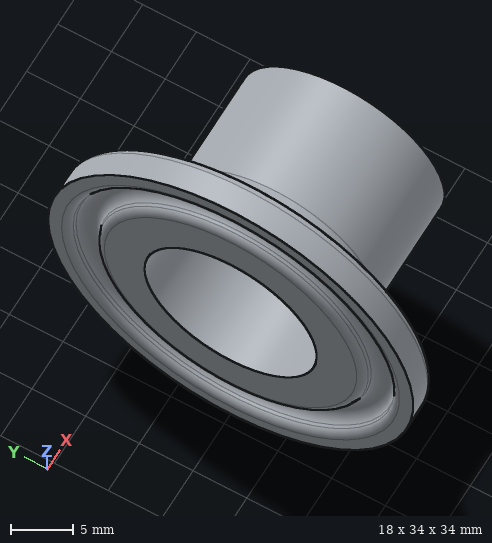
import cadquery as cq
import math

length = 18.0
flange_diameter = 34.0
tube_diameter = 19.0
bore_diameter = 16.0

rim_width = 2.82
cone_angle = math.radians(20)
rim_fillet = 0.7
neck_fillet = 2.0

groove_radius = 13.75
groove_depth = 1.6
groove_floor_radius = 1.2
groove_lip_radius = 0.8
groove_wall_angle = math.radians(20)

flange_radius = flange_diameter / 2
tube_radius = tube_diameter / 2
bore_radius = bore_diameter / 2


def turned(profile):
    """Revolve a closed (axial, radial) profile about the X axis."""
    return profile.close().revolve(360, (0, 0, 0), (1, 0, 0))


def circle_at(x):
    """Selector for the edges centred on the plane at the given X."""
    margin = 0.05
    return cq.selectors.BoxSelector(
        (x - margin, -flange_radius, -flange_radius),
        (x + margin, flange_radius, flange_radius),
    )


def make_body():
    """Flange, conical back and tube, with rounded rim and neck."""
    cone_length = (flange_radius - tube_radius) * math.tan(cone_angle)
    neck_x = rim_width + cone_length
    body = turned(
        cq.Workplane("XY")
        .moveTo(0, bore_radius)
        .lineTo(0, flange_radius)
        .lineTo(rim_width, flange_radius)
        .lineTo(neck_x, tube_radius)
        .lineTo(length, tube_radius)
        .lineTo(length, bore_radius)
    )
    body = body.edges(circle_at(rim_width)).fillet(rim_fillet)
    return body.edges(circle_at(neck_x)).fillet(neck_fillet)


def make_groove():
    """Ring cutter with a round floor, sloping walls and rounded lips."""
    sin_wall = math.sin(groove_wall_angle)
    cos_wall = math.cos(groove_wall_angle)
    middle_angle = (math.pi / 2 - groove_wall_angle) / 2

    lip_depth = groove_lip_radius * (1 - sin_wall)
    floor_depth = groove_depth - groove_floor_radius * (1 - sin_wall)

    floor_half = groove_floor_radius * cos_wall
    wall_half = floor_half + (floor_depth - lip_depth) * math.tan(groove_wall_angle)
    face_half = wall_half + groove_lip_radius * cos_wall

    lip_mid_depth = groove_lip_radius * (1 - math.cos(middle_angle))
    lip_mid_half = face_half - groove_lip_radius * math.sin(middle_angle)

    return turned(
        cq.Workplane("XY")
        .moveTo(0, groove_radius - face_half)
        .threePointArc(
            (lip_mid_depth, groove_radius - lip_mid_half),
            (lip_depth, groove_radius - wall_half),
        )
        .lineTo(floor_depth, groove_radius - floor_half)
        .threePointArc(
            (groove_depth, groove_radius),
            (floor_depth, groove_radius + floor_half),
        )
        .lineTo(lip_depth, groove_radius + wall_half)
        .threePointArc(
            (lip_mid_depth, groove_radius + lip_mid_half),
            (0, groove_radius + face_half),
        )
    )


result = make_body().cut(make_groove())